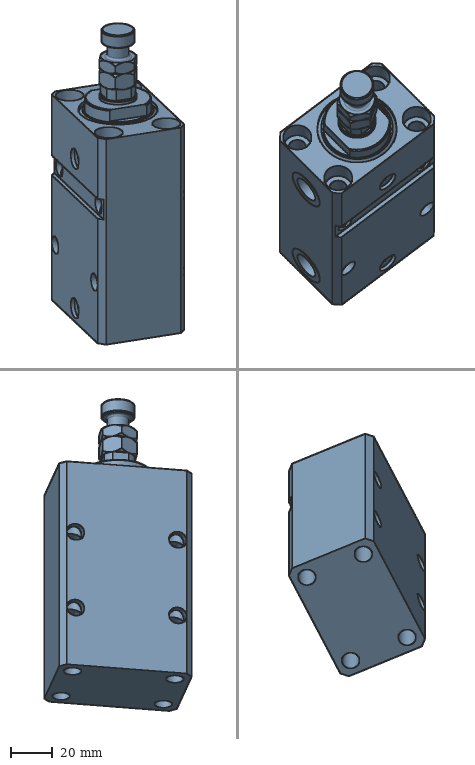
import cadquery as cq
import math

TOTAL_HEIGHT = 149.0

BLOCK_WIDTH = 65.0
BLOCK_DEPTH = 45.0
BLOCK_HEIGHT = 107.1
CORNER_CHAMFER = 3.1

BOLT_HOLE_DIAMETER = 8.5
BOLT_SPACING_X = 50.0
BOLT_SPACING_Y = 30.0
BOLT_SPACING_Z = 40.0
BOLT_UPPER_Z = 70.2
COUNTERBORE_DIAMETER = 13.5
COUNTERBORE_DEPTH = 9.7

SLOT_HEIGHT = 10.3
SLOT_DEPTH = 2.2

UPPER_PORT_Z = 85.0
SIDE_LOWER_PORT_Z = 11.9
FRONT_LOWER_PORT_Z = 7.0
SPOTFACE_DIAMETER = 20.0
SPOTFACE_DEPTH = 0.1
SIDE_PORT_DIAMETER = 13.1
SIDE_PORT_DEPTH = 10.5
FRONT_PORT_DIAMETER = 10.0
FRONT_PORT_DEPTH = 2.0
PILOT_DIAMETER = 1.2
PILOT_DEPTH = 3.0

THREAD_RADIUS = 19.0
THREAD_CHAMFER = 1.8
GLAND_BOTTOM_Z = 93.9
GLAND_RADIUS = 16.1
GROOVE_WIDTH = 0.3
GROOVE_DEPTH = 0.5
GLAND_TOP_Z = 113.4
GLAND_EDGE_CHAMFER = 0.6
GLAND_FLATS_WIDTH = 25.8
GLAND_FLATS_RISE = 0.3

ROD_RADIUS = 9.1
ROD_SHOULDER_Z = 115.2
ROD_CHAMFER = 0.5
ROD_TOP_Z = 120.8
ROD_SQUARE_WIDTH = 15.0
ROD_SQUARE_RADIUS = 8.5

HEX_WIDTH = 17.0
HEX_JOINT_Z = 129.0
HEX_TOP_Z = 135.0
NECK_RADIUS = 5.2
NECK_FILLET = 1.2
HEAD_RADIUS = 8.0
HEAD_BOTTOM_Z = 142.1
HEAD_CHAMFER = 0.6
HEAD_FILLET = 0.9

BLOCK_LEFT_X = -BLOCK_WIDTH / 2
BLOCK_FRONT_Y = -BLOCK_DEPTH / 2
GLAND_FLATS_BOTTOM_Z = BLOCK_HEIGHT + GLAND_FLATS_RISE


def cylinder(radius, bottom, top):
    """Vertical cylinder on the main axis between two heights."""
    return cq.Workplane("XY").workplane(offset=bottom).circle(radius).extrude(top - bottom)


def side_drill(diameter, depth, z, start=0.0):
    """Drill along +X from the left face of the block."""
    plane = cq.Workplane("YZ", origin=(BLOCK_LEFT_X + start, 0, z))
    return plane.circle(diameter / 2).extrude(depth)


def front_drill(diameter, depth, z, start=0.0):
    """Drill along +Y from the front face of the block."""
    plane = cq.Workplane("XZ", origin=(0, BLOCK_FRONT_Y + start, z))
    return plane.circle(diameter / 2).extrude(-depth)


def block_blank():
    blank = cq.Workplane("XY").box(BLOCK_WIDTH, BLOCK_DEPTH, BLOCK_HEIGHT, centered=(True, True, False))
    return blank.edges("|Z").chamfer(CORNER_CHAMFER)


def front_slot():
    slot = cq.Workplane("XY").box(BLOCK_WIDTH, SLOT_DEPTH, SLOT_HEIGHT, centered=(True, False, True))
    return slot.translate((0, BLOCK_FRONT_Y, BOLT_UPPER_Z))


def vertical_bolt_holes():
    """Through holes with counterbores in the top face."""
    top = cq.Workplane("XY").workplane(offset=BLOCK_HEIGHT)
    corners = top.rect(BOLT_SPACING_X, BOLT_SPACING_Y, forConstruction=True).vertices()
    holes = corners.circle(BOLT_HOLE_DIAMETER / 2).extrude(-BLOCK_HEIGHT)
    counterbores = corners.circle(COUNTERBORE_DIAMETER / 2).extrude(-COUNTERBORE_DEPTH)
    return holes.union(counterbores)


def cross_bolt_holes():
    """Through holes along Y; the upper pair opens into the front slot."""
    centre_z = BOLT_UPPER_Z - BOLT_SPACING_Z / 2
    front = cq.Workplane("XZ", origin=(0, 0, centre_z))
    corners = front.rect(BOLT_SPACING_X, BOLT_SPACING_Z, forConstruction=True).vertices()
    return corners.circle(BOLT_HOLE_DIAMETER / 2).extrude(BLOCK_DEPTH, both=True)


def side_port(z):
    """Spotfaced port with a small pilot hole in its floor."""
    port = side_drill(SPOTFACE_DIAMETER, SPOTFACE_DEPTH, z)
    port = port.union(side_drill(SIDE_PORT_DIAMETER, SIDE_PORT_DEPTH, z))
    return port.union(side_drill(PILOT_DIAMETER, PILOT_DEPTH, z, start=SIDE_PORT_DEPTH))


def front_port(z):
    """Shallow recess with a small pilot hole in its floor."""
    port = front_drill(FRONT_PORT_DIAMETER, FRONT_PORT_DEPTH, z)
    return port.union(front_drill(PILOT_DIAMETER, PILOT_DEPTH, z, start=FRONT_PORT_DEPTH))


def make_block():
    body = block_blank().cut(front_slot())
    body = body.cut(vertical_bolt_holes()).cut(cross_bolt_holes())
    body = body.cut(cylinder(THREAD_RADIUS, GLAND_BOTTOM_Z, BLOCK_HEIGHT))
    for z in (SIDE_LOWER_PORT_Z, UPPER_PORT_Z):
        body = body.cut(side_port(z))
    for z in (FRONT_LOWER_PORT_Z, UPPER_PORT_Z):
        body = body.cut(front_port(z))
    return body


def make_gland():
    """Screwed-in gland with two wrench flats, a groove around its collar and a bore for the rod."""
    collar = cylinder(GLAND_RADIUS, BLOCK_HEIGHT, GLAND_TOP_Z)
    collar = collar.faces(">Z").edges().chamfer(GLAND_EDGE_CHAMFER)
    flats_height = GLAND_TOP_Z - GLAND_FLATS_BOTTOM_Z
    for side in (-1, 1):
        waste = cq.Workplane("XY").rect(GLAND_RADIUS, 2 * GLAND_RADIUS).extrude(flats_height)
        offset = (GLAND_FLATS_WIDTH + GLAND_RADIUS) / 2
        collar = collar.cut(waste.translate((side * offset, 0, GLAND_FLATS_BOTTOM_Z)))
    thread = cylinder(THREAD_RADIUS, GLAND_BOTTOM_Z, BLOCK_HEIGHT)
    thread = thread.faces(">Z").edges().chamfer(THREAD_CHAMFER)
    groove = cylinder(GLAND_RADIUS + GROOVE_WIDTH, BLOCK_HEIGHT - GROOVE_DEPTH, BLOCK_HEIGHT)
    groove = groove.cut(cylinder(GLAND_RADIUS, BLOCK_HEIGHT - GROOVE_DEPTH, BLOCK_HEIGHT))
    thread = thread.cut(groove)
    return thread.union(collar).cut(cylinder(ROD_RADIUS, GLAND_BOTTOM_Z, GLAND_TOP_Z))


def make_rod():
    """Piston rod with a chamfered shoulder and four wrench flats at its end."""
    shaft = cylinder(ROD_RADIUS, GLAND_BOTTOM_Z, ROD_SHOULDER_Z).faces(">Z").edges().chamfer(ROD_CHAMFER)
    end_height = ROD_TOP_Z - ROD_SHOULDER_Z
    square = cq.Workplane("XY").workplane(offset=ROD_SHOULDER_Z)
    square = square.rect(ROD_SQUARE_WIDTH, ROD_SQUARE_WIDTH).extrude(end_height)
    end = cylinder(ROD_SQUARE_RADIUS, ROD_SHOULDER_Z, ROD_TOP_Z).intersect(square)
    return shaft.union(end)


def hexagon(bottom, top):
    """Hexagon with 45 degree conical chamfers at both ends and corners on the Y axis."""
    corner_radius = HEX_WIDTH / math.sqrt(3)
    flat_radius = HEX_WIDTH / 2
    drop = corner_radius - flat_radius
    prism = cq.Workplane("XY").workplane(offset=bottom).polygon(6, 2 * corner_radius).extrude(top - bottom)
    prism = prism.rotate((0, 0, 0), (0, 0, 1), 90)
    envelope = (
        cq.Workplane("XZ")
        .moveTo(0, bottom)
        .lineTo(flat_radius, bottom)
        .lineTo(corner_radius, bottom + drop)
        .lineTo(corner_radius, top - drop)
        .lineTo(flat_radius, top)
        .lineTo(0, top)
        .close()
        .revolve(360, (0, 0, 0), (0, 1, 0))
    )
    return prism.intersect(envelope)


def make_coupling():
    """Double hexagon, neck and round head in one piece."""
    neck_start_radius = NECK_RADIUS + NECK_FILLET
    neck_end_radius = NECK_RADIUS + HEAD_FILLET
    diagonal = math.sqrt(0.5)
    lower_arc = (neck_start_radius - NECK_FILLET * diagonal, HEX_TOP_Z + NECK_FILLET * (1 - diagonal))
    upper_arc = (neck_end_radius - HEAD_FILLET * diagonal, HEAD_BOTTOM_Z - HEAD_FILLET * (1 - diagonal))
    turned = (
        cq.Workplane("XZ")
        .moveTo(0, HEX_TOP_Z)
        .lineTo(neck_start_radius, HEX_TOP_Z)
        .threePointArc(lower_arc, (NECK_RADIUS, HEX_TOP_Z + NECK_FILLET))
        .lineTo(NECK_RADIUS, HEAD_BOTTOM_Z - HEAD_FILLET)
        .threePointArc(upper_arc, (neck_end_radius, HEAD_BOTTOM_Z))
        .lineTo(HEAD_RADIUS - HEAD_CHAMFER, HEAD_BOTTOM_Z)
        .lineTo(HEAD_RADIUS, HEAD_BOTTOM_Z + HEAD_CHAMFER)
        .lineTo(HEAD_RADIUS, TOTAL_HEIGHT - HEAD_CHAMFER)
        .lineTo(HEAD_RADIUS - HEAD_CHAMFER, TOTAL_HEIGHT)
        .lineTo(0, TOTAL_HEIGHT)
        .close()
        .revolve(360, (0, 0, 0), (0, 1, 0))
    )
    return hexagon(ROD_TOP_Z, HEX_JOINT_Z).union(hexagon(HEX_JOINT_Z, HEX_TOP_Z)).union(turned)


block = make_block()
gland = make_gland()
rod = make_rod()
coupling = make_coupling()

result = cq.Compound.makeCompound([block.val(), gland.val(), rod.val(), coupling.val()])